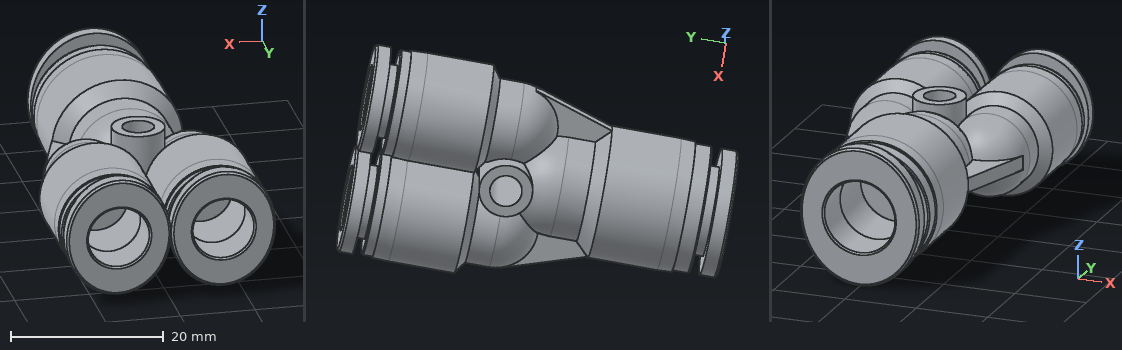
import cadquery as cq
import math


OVERALL_LENGTH = 49.4

SMALL_OFFSET = 7.0
SMALL_DIA = 14.4
SMALL_TAPER_DIA = 14.25
SMALL_RIM_DIA = 13.9
SMALL_NECK_DIA = 11.2
SMALL_NECK_END = 3.15
SMALL_SHOULDER = 4.3
SMALL_TAPER_START = 13.15
SMALL_RIM_START = 15.25
SMALL_MOUTH = 16.7
SMALL_FLANGE_START = 17.95
SMALL_END = 19.95
SMALL_STEM_DIA = 9.75
SMALL_BORE_DIA = 8.2
SMALL_FLANGE_WIDTH = 14.0
SMALL_FLANGE_HEIGHT = 16.0

LARGE_DIA = 17.6
LARGE_TAPER_DIA = 17.4
LARGE_RIM_DIA = 16.9
LARGE_NECK_DIA = 13.9
LARGE_DOME_CENTRE = 7.0
LARGE_NECK_END = 10.6
LARGE_SHOULDER = LARGE_NECK_END + (LARGE_DIA - LARGE_NECK_DIA) / 2
LARGE_TAPER_START = 21.65
LARGE_RIM_START = 23.6
LARGE_MOUTH = 25.9
LARGE_FLANGE_START = 27.25
LARGE_END = OVERALL_LENGTH - SMALL_END
LARGE_STEM_DIA = 11.9
LARGE_BORE_DIA = 9.9
LARGE_FLANGE_WIDTH = 16.6
LARGE_FLANGE_HEIGHT = 19.0

STEM_INSERTION = 2.35
SOCKET_DEPTH = 9.9
RIM_CHAMFER = 0.2
FLANGE_CHAMFER = 0.3
BORE_CHAMFER = 0.25

BOSS_DIA = 7.0
BOSS_HOLE_DIA = 4.2
BOSS_HEIGHT = SMALL_DIA
RIB_THICKNESS = 2.0
RIB_TIP_X = 12.35
RIB_TIP_Y = -1.75


def revolve_about_y(outline):
    """Revolve a closed (radius, y) outline about the Y axis."""
    return outline.close().revolve(360, (0, 0, 0), (0, 1, 0))


def port_shell(dome_centre, neck_dia, neck_end, dia, shoulder, taper_start,
               taper_dia, rim_start, rim_dia, mouth):
    """Solid port opening towards +Y, with a domed inner end."""
    neck_radius = neck_dia / 2
    arc_side = neck_radius * math.sqrt(0.5)
    outline = (
        cq.Workplane("XY")
        .moveTo(0, dome_centre - neck_radius)
        .threePointArc((arc_side, dome_centre - arc_side), (neck_radius, dome_centre))
        .lineTo(neck_radius, neck_end)
        .lineTo(dia / 2, shoulder)
        .lineTo(dia / 2, taper_start)
        .lineTo(taper_dia / 2, rim_start)
        .lineTo(rim_dia / 2, rim_start)
        .lineTo(rim_dia / 2, mouth - RIM_CHAMFER)
        .lineTo(rim_dia / 2 - RIM_CHAMFER, mouth)
        .lineTo(0, mouth)
    )
    return revolve_about_y(outline)


def cylinder_along_y(dia, start, end):
    outline = cq.Workplane("XY").moveTo(0, start).lineTo(dia / 2, start).lineTo(dia / 2, end).lineTo(0, end)
    return revolve_about_y(outline)


def socket(stem_dia, bore_dia, mouth):
    """Stepped cavity: a recess for the collet stem, then a blind tube socket."""
    stem_recess = cylinder_along_y(stem_dia, mouth - STEM_INSERTION, mouth)
    tube_socket = cylinder_along_y(bore_dia, mouth - SOCKET_DEPTH, mouth)
    return stem_recess.union(tube_socket)


def collet(stem_dia, bore_dia, flange_width, flange_height, mouth, flange_start, end):
    """Release collet opening towards +Y: oval flange, round stem and through bore."""
    flange = (
        cq.Workplane("XZ", origin=(0, end, 0))
        .ellipse(flange_width / 2, flange_height / 2)
        .extrude(end - flange_start)
        .faces(">Y").edges().chamfer(FLANGE_CHAMFER)
    )
    stem_end = mouth - STEM_INSERTION
    stem = cylinder_along_y(stem_dia, stem_end, flange_start)
    bore = cylinder_along_y(bore_dia, stem_end, end)
    return flange.union(stem).cut(bore).faces(">Y").edges("%CIRCLE").chamfer(BORE_CHAMFER)


def place_small(shape, side):
    return shape.translate((side * SMALL_OFFSET, 0, 0))


def place_large(shape):
    """Turn a port or collet built towards +Y so that it opens towards -Y."""
    return shape.rotate((0, 0, 0), (0, 0, 1), 180)


def rib(side):
    """Flat web from a small dome to the shoulder of the large port."""
    return (
        cq.Workplane("XY")
        .polyline([
            (0, RIB_TIP_Y),
            (side * RIB_TIP_X, RIB_TIP_Y),
            (side * LARGE_DIA / 2, -LARGE_SHOULDER),
            (0, -LARGE_SHOULDER),
        ])
        .close()
        .extrude(RIB_THICKNESS / 2, both=True)
    )


def build_body():
    small_port = port_shell(0, SMALL_NECK_DIA, SMALL_NECK_END, SMALL_DIA, SMALL_SHOULDER, SMALL_TAPER_START,
                            SMALL_TAPER_DIA, SMALL_RIM_START, SMALL_RIM_DIA, SMALL_MOUTH)
    large_port = port_shell(LARGE_DOME_CENTRE, LARGE_NECK_DIA, LARGE_NECK_END, LARGE_DIA, LARGE_SHOULDER,
                            LARGE_TAPER_START, LARGE_TAPER_DIA, LARGE_RIM_START, LARGE_RIM_DIA, LARGE_MOUTH)
    small_socket = socket(SMALL_STEM_DIA, SMALL_BORE_DIA, SMALL_MOUTH)
    large_socket = socket(LARGE_STEM_DIA, LARGE_BORE_DIA, LARGE_MOUTH)

    body = cq.Workplane("XY").circle(BOSS_DIA / 2).extrude(BOSS_HEIGHT / 2, both=True)
    body = body.union(place_large(large_port))
    for side in (-1, 1):
        body = body.union(place_small(small_port, side)).union(rib(side))
    boss_hole = cq.Workplane("XY").circle(BOSS_HOLE_DIA / 2).extrude(BOSS_HEIGHT, both=True)
    body = body.cut(boss_hole)

    body = body.cut(place_large(large_socket))
    for side in (-1, 1):
        body = body.cut(place_small(small_socket, side))
    return body


body = build_body()
small_collet = collet(SMALL_STEM_DIA, SMALL_BORE_DIA, SMALL_FLANGE_WIDTH, SMALL_FLANGE_HEIGHT,
                      SMALL_MOUTH, SMALL_FLANGE_START, SMALL_END)
small_collets = [place_small(small_collet, side) for side in (-1, 1)]
large_collet = place_large(collet(LARGE_STEM_DIA, LARGE_BORE_DIA, LARGE_FLANGE_WIDTH, LARGE_FLANGE_HEIGHT,
                                  LARGE_MOUTH, LARGE_FLANGE_START, LARGE_END))

result = cq.Compound.makeCompound([
    body.val(),
    *[part.val() for part in small_collets],
    large_collet.val(),
])